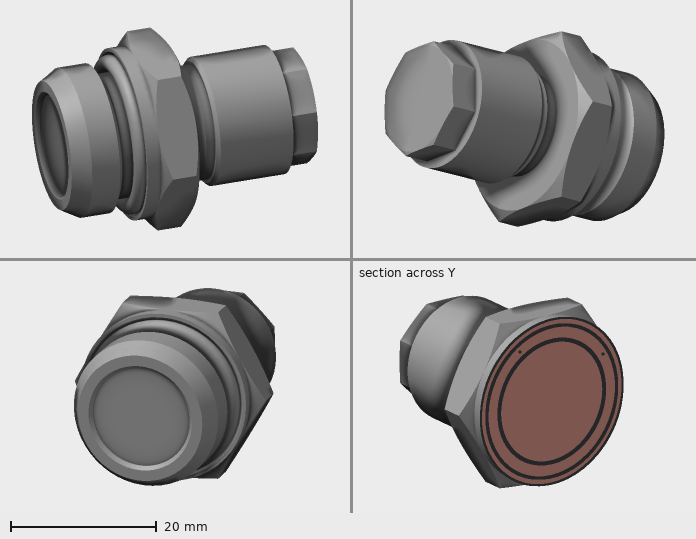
import cadquery as cq
import math


thread_radius = 10.45
thread_cone_end = 2.5
thread_cone_angle = 30
thread_undercut_start = 7.5
undercut_radius = 8.75
undercut_cone_angle = 30
recess_radius = 7.0
recess_chamfer = 0.5
recess_depth = 0.75

flange_start = 10.0
flange_radius = 12.0
groove_radius = 11.0
groove_chamfer = 0.5
groove_depth = 1.0
ring_start = 8.65
ring_outer_radius = 11.12
ring_section_radius = 1.2

hex_start = 12.0
hex_end = 17.5
hex_across_flats = 24.0
hex_chamfer_angle = 30

neck_radius = 7.25
collar_radius = 8.0
collar_cone_start = 19.0

sleeve_start = 21.0
sleeve_end = 32.0
sleeve_radius = 9.0
sleeve_chamfer = 0.5

total_length = 36.0
octagon_across_flats = 15.0
octagon_chamfer_angle = 15


def tan_deg(angle):
    return math.tan(math.radians(angle))


def revolve_profile(points):
    """Solid of revolution about Y from (radius, y) points."""
    return cq.Workplane("XY").polyline(points).close().revolve(360, (0, 0, 0), (0, 1, 0))


def prism(sides, across_flats, start, end):
    """Regular prism along Y with a flat facing +Z."""
    corner_radius = across_flats / 2 / math.cos(math.pi / sides)
    step = 2 * math.pi / sides
    first = math.pi / 2 + step / 2
    corners = []
    for i in range(sides):
        angle = first + i * step
        corners.append((corner_radius * math.cos(angle), corner_radius * math.sin(angle)))
    plane = cq.Plane(origin=(0, start, 0), xDir=(1, 0, 0), normal=(0, -1, 0))
    return cq.Workplane(plane).polyline(corners).close().extrude(start - end)


def corner_cone(across_flats, start, end, angle):
    """Disc with conical faces, tangent to the flats at both ends, that turns off prism corners."""
    flat_radius = across_flats / 2
    corner_clearance = across_flats / 4
    outer_radius = flat_radius + corner_clearance
    cone_height = corner_clearance * tan_deg(angle)
    return revolve_profile([
        (0, start),
        (flat_radius, start),
        (outer_radius, start + cone_height),
        (outer_radius, end - cone_height),
        (flat_radius, end),
        (0, end),
    ])


def make_threaded_end():
    nose_radius = thread_radius - thread_cone_end * tan_deg(thread_cone_angle)
    cone_length = (thread_radius - undercut_radius) * tan_deg(undercut_cone_angle)
    return revolve_profile([
        (0, recess_depth),
        (recess_radius, recess_depth),
        (recess_radius, recess_chamfer),
        (recess_radius + recess_chamfer, 0),
        (nose_radius, 0),
        (thread_radius, thread_cone_end),
        (thread_radius, thread_undercut_start - cone_length),
        (undercut_radius, thread_undercut_start),
        (undercut_radius, hex_start),
        (0, hex_start),
    ])


def make_flange():
    """Flange whose face groove opens toward the thread and is chamfered at its mouth."""
    groove_floor = flange_start + groove_depth
    return revolve_profile([
        (0, groove_floor),
        (groove_radius, groove_floor),
        (groove_radius, flange_start + groove_chamfer),
        (groove_radius + groove_chamfer, flange_start),
        (flange_radius, flange_start),
        (flange_radius, hex_start),
        (0, hex_start),
    ])


def make_seal_ring():
    """O-ring pressed slightly into the undercut and the groove floor."""
    center_radius = ring_outer_radius - ring_section_radius
    section = cq.Workplane("XY").center(-center_radius, ring_start + ring_section_radius)
    ring = section.circle(ring_section_radius)
    return ring.revolve(360, (center_radius, 0, 0), (center_radius, 1, 0))


def make_neck_and_sleeve():
    collar_cone_end = collar_cone_start + collar_radius - neck_radius
    return revolve_profile([
        (0, hex_end),
        (neck_radius, hex_end),
        (neck_radius, collar_cone_start),
        (collar_radius, collar_cone_end),
        (collar_radius, sleeve_start),
        (sleeve_radius - sleeve_chamfer, sleeve_start),
        (sleeve_radius, sleeve_start + sleeve_chamfer),
        (sleeve_radius, sleeve_end),
        (0, sleeve_end),
    ])


def make_large_hexagon():
    """Hexagon with its corners turned off on both faces."""
    body = prism(6, hex_across_flats, hex_start, hex_end)
    return body.intersect(corner_cone(hex_across_flats, hex_start, hex_end, hex_chamfer_angle))


def make_octagonal_end():
    """Octagon with its corners turned off on the free end only."""
    body = prism(8, octagon_across_flats, sleeve_end, total_length)
    cone = corner_cone(octagon_across_flats, sleeve_start, total_length, octagon_chamfer_angle)
    return body.intersect(cone)


result = (
    make_threaded_end()
    .union(make_flange())
    .union(make_seal_ring())
    .union(make_large_hexagon())
    .union(make_neck_and_sleeve())
    .union(make_octagonal_end())
)